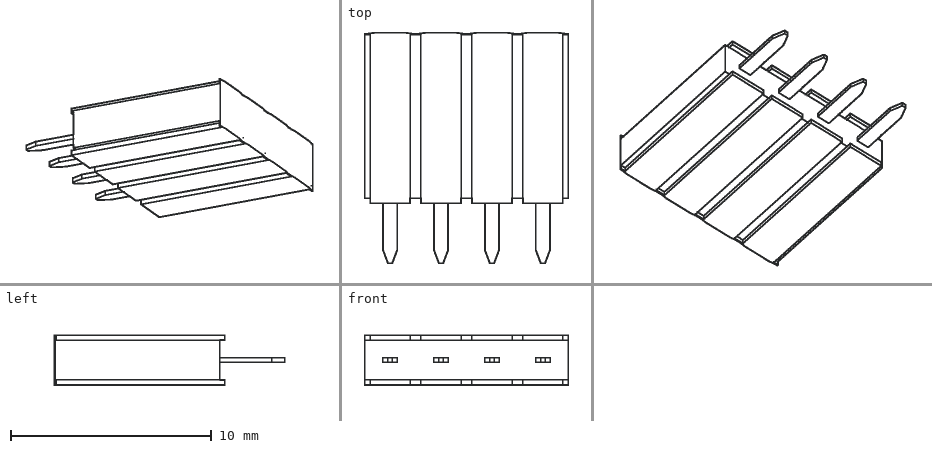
import cadquery as cq

total_length = 11.5
width = 10.15
height = 2.5
contact_count = 4
pitch = width / contact_count

pin_exposed_length = 3.24
pin_width = 0.71
pin_thickness = 0.23
pin_tip_width = 0.22
pin_tip_length = 0.65

rib_width = 2.0
rib_height = 0.25
rib_overhang = 0.25

wall_thickness = 0.06
pad_height = 0.05
pad_base_width = 2.21
pad_top_width = 1.56

core_height = height - 2 * rib_height
back_y = total_length - pin_exposed_length
wall_back_y = back_y - pad_height
wall_front_y = wall_back_y - wall_thickness
contact_xs = [(i - (contact_count - 1) / 2) * pitch for i in range(contact_count)]


def y_block(block_width, block_height, front_y, rear_y):
    """A box centred on X and Z that runs from front_y to rear_y."""
    return (
        cq.Workplane("XY")
        .box(block_width, rear_y - front_y, block_height, centered=(True, False, True))
        .translate((0, front_y, 0))
    )


def make_pad(x):
    """A trapezoidal pad over the full height of the back wall."""
    return (
        cq.Workplane("XY", origin=(x, 0, -height / 2))
        .polyline([
            (-pad_base_width / 2, wall_back_y),
            (-pad_top_width / 2, back_y),
            (pad_top_width / 2, back_y),
            (pad_base_width / 2, wall_back_y),
        ])
        .close()
        .extrude(height)
    )


def make_rib(x, side):
    """A rib on the upper (side = 1) or lower (side = -1) face of the core."""
    rib_z = side * (core_height + rib_height) / 2
    return y_block(rib_width, rib_height, -rib_overhang, wall_back_y).translate((x, 0, rib_z))


def make_housing():
    """The core with its back wall, pads and ribs."""
    core = y_block(width, core_height, 0, wall_back_y)
    back_wall = y_block(width, height, wall_front_y, wall_back_y)
    housing = core.union(back_wall)
    for x in contact_xs:
        housing = housing.union(make_pad(x))
        for side in (1, -1):
            housing = housing.union(make_rib(x, side))
    return housing


def make_pin(x):
    """A flat pin that stands on the core's front face and tapers to a blunt tip."""
    tip_y = -pin_exposed_length
    taper_start_y = tip_y + pin_tip_length
    return (
        cq.Workplane("XY", origin=(x, 0, -pin_thickness / 2))
        .polyline([
            (-pin_width / 2, 0),
            (-pin_width / 2, taper_start_y),
            (-pin_tip_width / 2, tip_y),
            (pin_tip_width / 2, tip_y),
            (pin_width / 2, taper_start_y),
            (pin_width / 2, 0),
        ])
        .close()
        .extrude(pin_thickness)
    )


housing = make_housing()
pins = [make_pin(x) for x in contact_xs]

result = cq.Compound.makeCompound([housing.val(), *[pin.val() for pin in pins]])